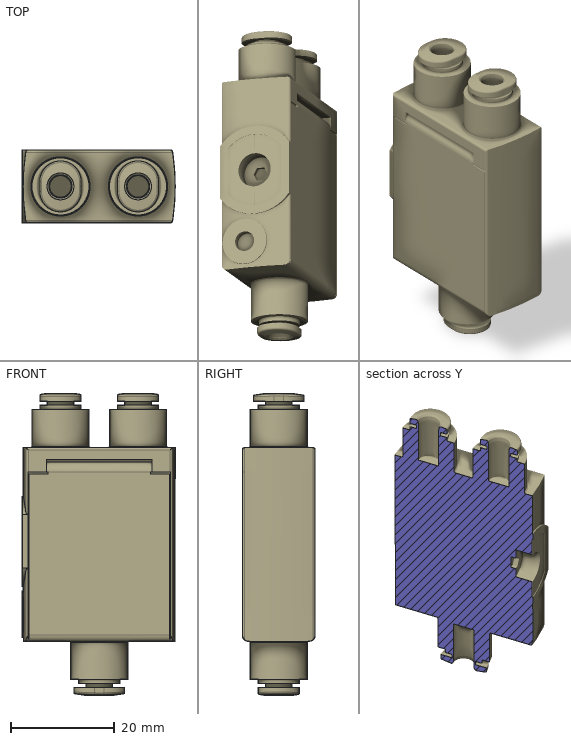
import cadquery as cq
import math

body_width = 14.1
body_height = 37.5
end_bow_reach = 14.71
end_bow_rise = 0.57
upright_edge_radius = 0.5
top_edge_radius = 0.5
bottom_edge_radius = 1.2
half_width = body_width / 2
end_edge_reach = end_bow_reach - end_bow_rise

overall_height = 58.44
fitting_height = (overall_height - body_height) / 2
fitting_spacing = 15.0
barrel_diameter = 11.05
foot_flare = 0.2
barrel_top = 7.35
guide_diameter = 8.0
guide_top = 8.2
neck_diameter = 5.2
button_underside = 8.9
button_width = 8.0
button_length = 9.85
button_rim_radius = 0.35
button_rise = 0.35
bore_mouth_diameter = 5.2
bore_mouth_depth = 0.3
bore_entry_diameter = 4.5
bore_entry_depth = 1.1
bore_diameter = 4.2
bore_depth = 10.0

pad_face_x = -14.90
pad_root_x = -13.75
knob_z = 19.33
knob_pad_diameter = 17.5
insert_diameter = 14.2
insert_width = 10.8
insert_recess = 0.1
split_width = 0.2
split_depth = 0.2
knob_hole_diameter = 6.6
knob_hole_depth = 3.7
hex_across_flats = 2.5
hex_depth = 1.0
small_pad_y = 2.0
small_pad_z = 5.2
small_pad_diameter = 9.0
small_hole_diameter = 3.9
small_hole_depth = 1.7

cover_top = 32.75
cover_half_width = 13.55
gap_outer_half_width = 13.75
top_gap_height = 0.35
gap_depth = 0.3
top_gap_inner_half_width = 9.9
notch_half_width = 10.2
notch_top = 35.2
notch_lip_radius = 1.9


def make_body():
    plan = (
        cq.Workplane("XY")
        .moveTo(-end_edge_reach, -half_width)
        .lineTo(end_edge_reach, -half_width)
        .threePointArc((end_bow_reach, 0), (end_edge_reach, half_width))
        .lineTo(-end_edge_reach, half_width)
        .threePointArc((-end_bow_reach, 0), (-end_edge_reach, -half_width))
        .close()
        .extrude(body_height)
        .edges("|Z")
        .fillet(upright_edge_radius)
    )
    section = (
        cq.Workplane("XY")
        .box(2 * end_bow_reach, body_width, body_height, centered=(True, True, False))
        .edges("|X and >Z")
        .fillet(top_edge_radius)
        .edges("|X and <Z")
        .fillet(bottom_edge_radius)
    )
    return plan.intersect(section)


def cylinder(diameter, bottom, top):
    return cq.Workplane("XY").workplane(offset=bottom).circle(diameter / 2).extrude(top - bottom)


def make_button():
    """Release button: an obround along Y with a shallow conical top and a rounded rim."""
    prism = (
        cq.Workplane("XY")
        .workplane(offset=button_underside)
        .slot2D(button_length, button_width, 90)
        .extrude(fitting_height - button_underside)
    )
    crown = (
        cq.Workplane("XZ")
        .moveTo(0, button_underside)
        .lineTo(button_length / 2, button_underside)
        .lineTo(button_length / 2, fitting_height - button_rise)
        .lineTo(bore_mouth_diameter / 2, fitting_height)
        .lineTo(0, fitting_height)
        .close()
        .revolve(360, (0, 0, 0), (0, 1, 0))
    )
    button = prism.intersect(crown)
    rim_edges = button.faces("%CONE").edges("not(>Z)")
    return rim_edges.fillet(button_rim_radius)


def make_bore():
    mouth_floor = fitting_height - bore_mouth_depth
    entry_floor = fitting_height - bore_entry_depth
    bore_floor = fitting_height - bore_depth
    return (
        cq.Workplane("XZ")
        .moveTo(0, fitting_height)
        .lineTo(bore_mouth_diameter / 2, fitting_height)
        .lineTo(bore_entry_diameter / 2, mouth_floor)
        .lineTo(bore_diameter / 2, entry_floor)
        .lineTo(bore_diameter / 2, bore_floor)
        .lineTo(0, bore_floor)
        .close()
        .revolve(360, (0, 0, 0), (0, 1, 0))
    )


def make_fitting():
    """One fitting standing on z = 0 and pointing up."""
    foot = cq.Workplane("XY").add(
        cq.Solid.makeCone(barrel_diameter / 2 + foot_flare, barrel_diameter / 2, foot_flare)
    )
    fitting = foot.union(cylinder(barrel_diameter, 0, barrel_top))
    fitting = fitting.union(cylinder(guide_diameter, barrel_top, guide_top))
    fitting = fitting.union(cylinder(neck_diameter, guide_top, button_underside))
    return fitting.union(make_button()).cut(make_bore())


def add_fittings(part):
    """Two fittings on the top face; one below, its obround button lying along X."""
    fitting = make_fitting()
    for x in (-fitting_spacing / 2, fitting_spacing / 2):
        part = part.union(fitting.translate((x, 0, body_height)))
    turned = fitting.rotate((0, 0, 0), (0, 0, 1), 90)
    return part.union(turned.rotate((0, 0, 0), (1, 0, 0), 180))


def end_plane(depth, y=0.0, z=0.0):
    """Sketch plane facing +X, set the given depth inside the pad faces."""
    return cq.Workplane("YZ", origin=(pad_face_x + depth, y, z))


def add_pads(part):
    pad_thickness = pad_root_x - pad_face_x
    knob_pad = end_plane(0, 0, knob_z).circle(knob_pad_diameter / 2).extrude(pad_thickness)
    width_limit = end_plane(0, 0, knob_z).rect(body_width, knob_pad_diameter).extrude(pad_thickness)
    small_pad = (
        end_plane(0, small_pad_y, small_pad_z)
        .circle(small_pad_diameter / 2)
        .extrude(pad_thickness)
    )
    return part.union(knob_pad.intersect(width_limit)).union(small_pad)


def cut_knob(part):
    """Recessed split insert with a central hole and a hex socket in the hole's floor."""
    insert = end_plane(0, 0, knob_z).circle(insert_diameter / 2).extrude(insert_recess)
    flats = end_plane(0, 0, knob_z).rect(insert_width, insert_diameter).extrude(insert_recess)
    split = end_plane(0, 0, knob_z).rect(split_width, insert_diameter).extrude(split_depth)
    hole = end_plane(0, 0, knob_z).circle(knob_hole_diameter / 2).extrude(knob_hole_depth)
    hex_across_corners = hex_across_flats / math.cos(math.pi / 6)
    socket = end_plane(knob_hole_depth, 0, knob_z).polygon(6, hex_across_corners).extrude(hex_depth)
    return part.cut(insert.intersect(flats)).cut(split).cut(hole).cut(socket)


def cut_small_hole(part):
    hole = (
        end_plane(0, small_pad_y, small_pad_z)
        .circle(small_hole_diameter / 2)
        .extrude(small_hole_depth)
    )
    return part.cut(hole)


def front_cut(x_from, x_to, z_from, z_to):
    """Shallow rectangular cutter sunk into the front face."""
    block = cq.Workplane("XY").box(x_to - x_from, gap_depth, z_to - z_from, centered=False)
    return block.translate((x_from, -half_width, z_from))


def cut_cover_gap(part):
    gap_width = gap_outer_half_width - cover_half_width
    gap_floor_z = cover_top - top_gap_height
    for side_x in (-gap_outer_half_width, cover_half_width):
        part = part.cut(front_cut(side_x, side_x + gap_width, 0, cover_top))
    part = part.cut(front_cut(-gap_outer_half_width, -top_gap_inner_half_width, gap_floor_z, cover_top))
    part = part.cut(front_cut(top_gap_inner_half_width, gap_outer_half_width, gap_floor_z, cover_top))
    return part


def cut_notch(part):
    """Finger notch whose lower side is a rounded lip falling back into the body."""
    floor_y = notch_lip_radius - half_width
    arc_offset = notch_lip_radius * math.sin(math.pi / 4)
    notch = (
        cq.Workplane("YZ", origin=(-notch_half_width, 0, 0))
        .moveTo(-half_width, cover_top)
        .threePointArc(
            (floor_y - arc_offset, cover_top + arc_offset),
            (floor_y, cover_top + notch_lip_radius),
        )
        .lineTo(floor_y, notch_top)
        .lineTo(-half_width, notch_top)
        .close()
        .extrude(2 * notch_half_width)
    )
    return part.cut(notch)


result = make_body()
result = add_fittings(result)
result = add_pads(result)
result = cut_knob(result)
result = cut_small_hole(result)
result = cut_cover_gap(result)
result = cut_notch(result)